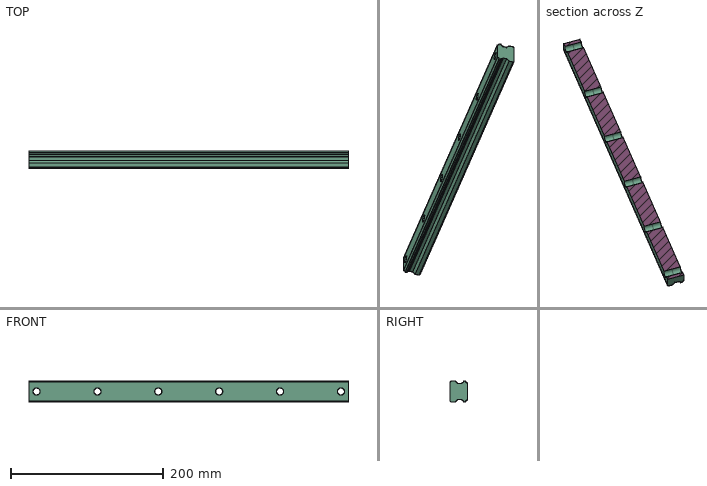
import cadquery as cq
import math

LENGTH = 420.0
HEIGHT = 23.0
WIDTH = 28.0

HOLE_DIAMETER = 9.0
HOLE_PITCH = 80.0
HOLE_COUNT = 6

HALF_WIDTH = WIDTH / 2
TOP_Y = HEIGHT / 2
BASE_Y = -HEIGHT / 2
BASE_CHAMFER = 1.5
FLANK_TOP_Y = -4.6
WAIST_HALF_WIDTH = 10.6
WAIST_HIGH_Y = 3.2

TRACK_RADIUS = 2.2
LIP_CENTRE_Y = 7.8
LIP_HALF_HEIGHT = 1.35
LIP_CHAMFER = 0.4
TOP_HALF_WIDTH = 11.4
TOP_BEVEL_Y = 0.6
TOP_BEVEL_Z = 0.1


def make_half_rail():
    """The +Z half of the rail, extruded along X and centred."""
    waist_depth = HALF_WIDTH - WAIST_HALF_WIDTH
    lip_edge_z = HALF_WIDTH - LIP_CHAMFER
    lip_low_y = LIP_CENTRE_Y - LIP_HALF_HEIGHT
    lip_high_y = LIP_CENTRE_Y + LIP_HALF_HEIGHT

    diagonal = TRACK_RADIUS * math.sqrt(0.5)
    low_track_y = lip_low_y - TRACK_RADIUS
    low_track_z = lip_edge_z - TRACK_RADIUS

    bevel_y = TOP_Y - TOP_BEVEL_Y
    bevel_z = TOP_HALF_WIDTH + TOP_BEVEL_Z
    return (
        cq.Workplane("YZ")
        .moveTo(BASE_Y, 0)
        .lineTo(BASE_Y, HALF_WIDTH - BASE_CHAMFER)
        .lineTo(BASE_Y + BASE_CHAMFER, HALF_WIDTH)
        .lineTo(FLANK_TOP_Y, HALF_WIDTH)
        .lineTo(FLANK_TOP_Y + waist_depth, WAIST_HALF_WIDTH)
        .lineTo(WAIST_HIGH_Y, WAIST_HALF_WIDTH)
        .lineTo(low_track_y, low_track_z)
        .threePointArc((low_track_y + diagonal, lip_edge_z - diagonal), (lip_low_y, lip_edge_z))
        .lineTo(lip_low_y + LIP_CHAMFER, HALF_WIDTH)
        .lineTo(lip_high_y - LIP_CHAMFER, HALF_WIDTH)
        .lineTo(lip_high_y, lip_edge_z)
        .radiusArc((bevel_y, bevel_z), -TRACK_RADIUS)
        .lineTo(TOP_Y, TOP_HALF_WIDTH)
        .lineTo(TOP_Y, 0)
        .close()
        .extrude(LENGTH / 2, both=True)
    )


def make_holes():
    """The row of mounting holes, right through along Y."""
    return (
        cq.Workplane("XZ")
        .rarray(HOLE_PITCH, 1, HOLE_COUNT, 1)
        .circle(HOLE_DIAMETER / 2)
        .extrude(HEIGHT, both=True)
    )


half_rail = make_half_rail()
rail = half_rail.union(half_rail.mirror("XY")).clean()
result = rail.cut(make_holes())